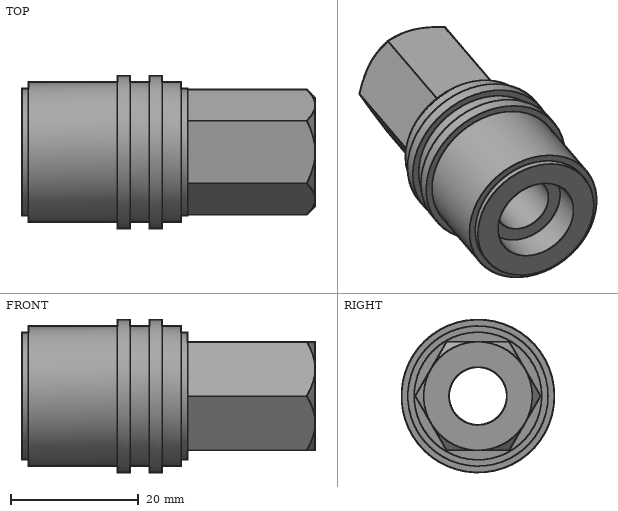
import cadquery as cq
import math

total_length = 45.95
sleeve_length = 25.95

sleeve_diameter = 21.95
step_diameter = 20.0
step_length = 1.0

ring_diameter = 24.0
ring_width = 1.98
ring_starts = (15.0, 20.0)

hex_across_flats = 17.0
hex_across_corners = hex_across_flats / math.cos(math.pi / 6)
chamfer_size = (hex_across_corners - hex_across_flats) / 2

socket_diameter = 13.0
socket_depth = 5.0
through_diameter = 9.0


def cylinder(diameter, start, length):
    """Solid cylinder along +X whose first face lies at x = start."""
    return cq.Workplane("YZ", origin=(start, 0, 0)).circle(diameter / 2).extrude(length)


def sleeve():
    """Stepped round body carrying the raised rings."""
    body = cylinder(step_diameter, 0, sleeve_length)
    body = body.union(cylinder(sleeve_diameter, step_length, sleeve_length - 2 * step_length))
    for start in ring_starts:
        body = body.union(cylinder(ring_diameter, start, ring_width))
    return body


def hex_shank():
    """Hexagon with flats facing up and down, its end corners turned off at 45 degrees."""
    length = total_length - sleeve_length
    hexagon = (
        cq.Workplane("YZ", origin=(sleeve_length, 0, 0))
        .polygon(6, hex_across_corners)
        .extrude(length)
    )
    turned_blank = cylinder(hex_across_corners, sleeve_length, length).faces(">X").chamfer(chamfer_size)
    return hexagon.intersect(turned_blank)


socket = cylinder(socket_diameter, 0, socket_depth)
through_hole = cylinder(through_diameter, 0, total_length)

result = sleeve().union(hex_shank()).cut(socket).cut(through_hole)